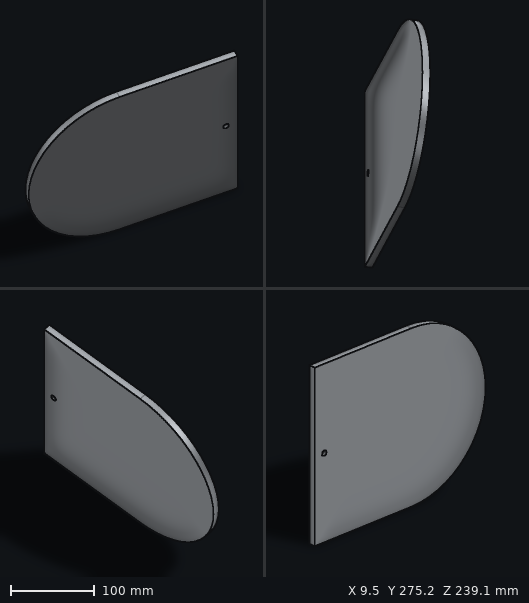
import cadquery as cq

thickness = 9.5
length = 275.2
height = 239.1

hole_diameter = 7.2
hole_edge_distance = 15.5

end_radius = height / 2
straight_end_y = length / 2
round_end_y = -length / 2
arc_start_y = round_end_y + end_radius
hole_y = straight_end_y - hole_edge_distance


def make_plate():
    """Flat plate with a square end at +Y and a half-round end at -Y."""
    return (
        cq.Workplane("YZ")
        .moveTo(straight_end_y, -end_radius)
        .lineTo(straight_end_y, end_radius)
        .lineTo(arc_start_y, end_radius)
        .threePointArc((round_end_y, 0), (arc_start_y, -end_radius))
        .close()
        .extrude(thickness / 2, both=True)
    )


def make_hole():
    """Cylinder that cuts the hole through the full thickness."""
    return (
        cq.Workplane("YZ")
        .center(hole_y, 0)
        .circle(hole_diameter / 2)
        .extrude(thickness, both=True)
    )


result = make_plate().cut(make_hole())